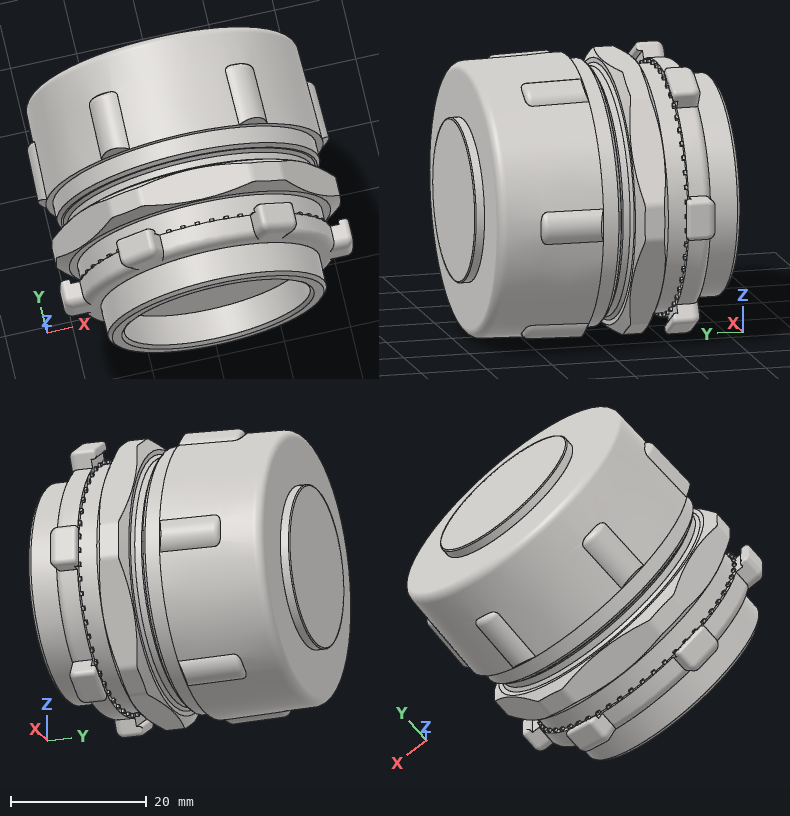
import cadquery as cq
import math

OVERALL_LENGTH = 39.5
LUG_AND_RIB_COUNT = 6
SIXTH_TURN = 360 / LUG_AND_RIB_COUNT

TUBE_RADIUS = 33.2 / 2
TUBE_CHAMFER = 0.55
BORE_RADIUS = 28.2 / 2
BORE_DEPTH = 5.05
BORE_CHAMFER = 0.5

LOCKNUT_FRONT = 5.05
LOCKNUT_BACK = 8.65
LOCKNUT_RADIUS = 19.25
LOCKNUT_FRONT_FILLET = 1.35
LUG_REACH = 21.9
LUG_WIDTH = 6.1
LUG_HEEL_RADIUS = 20.3
LUG_BACK = 9.45
LUG_CORNER_FILLET = 0.75
LUG_BACK_FILLET = 0.5
TOOTH_COUNT = 54
TOOTH_HEIGHT = 0.4
TOOTH_WIDTH = 0.6
TOOTH_OUTER_RADIUS = 19.05

GASKET_FRONT_RADIUS = 37.0 / 2
GASKET_BACK_RADIUS = 37.1 / 2

HEX_FRONT = 11.95
HEX_BACK = 17.0
HEX_ACROSS_FLATS = 39.97
HALF_CORNER_ANGLE = 30
HEX_CORNER_REACH = 21.55
HEX_CORNER_FILLET = 1.9
HEX_FACE_RADIUS = 19.8
HEX_BEVEL_ANGLE = 30

NECK_RADIUS = 37.2 / 2
NECK_FLARE = 0.5
COLLAR_RADIUS = 39.9 / 2
COLLAR_FRONT = 19.0
COLLAR_CHAMFER = 0.55

NUT_FRONT = 22.15
NUT_BACK = 38.05
NUT_FRONT_RADIUS = 42.0 / 2
NUT_DRAFT_ANGLE = 1.5
NUT_BACK_FILLET = 1.4
NUT_END_WALL = 2.65
RIB_REACH = 22.05
RIB_RADIUS = 3.1
RIB_BACK = 31.6
RIB_BACK_FILLET = 0.95
RIB_BEVEL_ANGLE = 30

PLUG_RADIUS = 24.5 / 2
PLUG_CHAMFER = 0.18

NUT_CAVITY_END = NUT_BACK - NUT_END_WALL
RIB_BEVEL_SLOPE = math.tan(math.radians(RIB_BEVEL_ANGLE))
RIB_BEVEL_END = NUT_FRONT + (RIB_REACH - NUT_FRONT_RADIUS) * RIB_BEVEL_SLOPE


def turned(points):
    """Revolve an outline of (radius, y) points about the Y axis."""
    return cq.Workplane("XY").polyline(points).close().revolve(360, (0, 0, 0), (0, 1, 0))


def disc(radius, start, end):
    """Solid cylinder on the Y axis between two Y positions."""
    return cq.Workplane("XZ", origin=(0, start, 0)).circle(radius).extrude(start - end)


def bar(inner, outer, width, start, end):
    """Block reaching outward along X from inner to outer, between two Y positions."""
    size = (outer - inner, end - start, width)
    return cq.Workplane("XY").box(*size, centered=(False, False, True)).translate((inner, start, 0))


def turn_about_axis(shape, angle):
    """Copy of a shape turned about the Y axis."""
    return shape.rotate((0, 0, 0), (0, 1, 0), angle)


def make_hexagon():
    """Hexagon with cut, rounded corners pointing along X, and both faces bevelled."""
    thickness = HEX_BACK - HEX_FRONT
    corner_diameter = HEX_ACROSS_FLATS / math.cos(math.radians(HALF_CORNER_ANGLE))
    blank = cq.Workplane("XZ", origin=(0, HEX_FRONT, 0)).polygon(6, corner_diameter).extrude(-thickness)
    corner_cutter = (
        cq.Workplane("XZ", origin=(0, HEX_FRONT, 0))
        .transformed(rotate=(0, 0, HALF_CORNER_ANGLE))
        .polygon(6, 2 * HEX_CORNER_REACH / math.cos(math.radians(HALF_CORNER_ANGLE)))
        .extrude(-thickness)
    )
    blank = blank.intersect(corner_cutter).edges("|Y").fillet(HEX_CORNER_FILLET)

    bevel_depth = thickness / 2
    waist_radius = HEX_FACE_RADIUS + bevel_depth / math.tan(math.radians(HEX_BEVEL_ANGLE))
    bevels = turned([
        (0, HEX_FRONT),
        (HEX_FACE_RADIUS, HEX_FRONT),
        (waist_radius, HEX_FRONT + bevel_depth),
        (HEX_FACE_RADIUS, HEX_BACK),
        (0, HEX_BACK),
    ])
    return blank.intersect(bevels)


def make_fitting():
    """Threaded tube, hexagon, neck and collar in one piece, with a blind bore."""
    tube = disc(TUBE_RADIUS, 0, HEX_FRONT).faces("<Y").chamfer(TUBE_CHAMFER)
    collar = turned([
        (0, HEX_BACK),
        (NECK_RADIUS + NECK_FLARE, HEX_BACK),
        (NECK_RADIUS, HEX_BACK + NECK_FLARE),
        (NECK_RADIUS, COLLAR_FRONT - NECK_FLARE),
        (NECK_RADIUS + NECK_FLARE, COLLAR_FRONT),
        (COLLAR_RADIUS - COLLAR_CHAMFER, COLLAR_FRONT),
        (COLLAR_RADIUS, COLLAR_FRONT + COLLAR_CHAMFER),
        (COLLAR_RADIUS, NUT_CAVITY_END),
        (0, NUT_CAVITY_END),
    ])
    bore = turned([
        (0, 0),
        (BORE_RADIUS + BORE_CHAMFER, 0),
        (BORE_RADIUS, BORE_CHAMFER),
        (BORE_RADIUS, BORE_DEPTH),
        (0, BORE_DEPTH),
    ])
    return tube.union(make_hexagon()).union(collar).cut(bore)


def make_tooth():
    """Small tooth standing on the locknut's back face, just outside the gasket."""
    tooth_back = LOCKNUT_BACK + TOOTH_HEIGHT
    return bar(GASKET_BACK_RADIUS, TOOTH_OUTER_RADIUS, TOOTH_WIDTH, LOCKNUT_BACK, tooth_back)


def make_locknut():
    """Ring with six rounded lugs and a row of small teeth on its back face."""
    arm = bar(TUBE_RADIUS, LUG_REACH, LUG_WIDTH, LOCKNUT_FRONT, LOCKNUT_BACK)
    heel = bar(LUG_HEEL_RADIUS, LUG_REACH, LUG_WIDTH, LOCKNUT_FRONT, LUG_BACK)
    lug = arm.union(heel)

    locknut = disc(LOCKNUT_RADIUS, LOCKNUT_FRONT, LOCKNUT_BACK)
    for i in range(LUG_AND_RIB_COUNT):
        locknut = locknut.union(turn_about_axis(lug, i * SIXTH_TURN))
    locknut = locknut.faces("<Y").edges().fillet(LOCKNUT_FRONT_FILLET)

    corner_edges = locknut.edges("|Y").filter(
        lambda edge: math.hypot(edge.Center().x, edge.Center().z) > LUG_REACH
    )
    locknut = corner_edges.fillet(LUG_CORNER_FILLET)
    locknut = locknut.faces(">Y").edges().fillet(LUG_BACK_FILLET)

    locknut = locknut.cut(disc(TUBE_RADIUS, LOCKNUT_FRONT, LOCKNUT_BACK))
    tooth = make_tooth()
    for i in range(TOOTH_COUNT):
        locknut = locknut.union(turn_about_axis(tooth, i * 360 / TOOTH_COUNT))
    return locknut


def make_gasket():
    """Tapered sleeve filling the space between the locknut and the hexagon."""
    return turned([
        (TUBE_RADIUS, LOCKNUT_BACK),
        (GASKET_FRONT_RADIUS, LOCKNUT_BACK),
        (GASKET_BACK_RADIUS, HEX_FRONT),
        (TUBE_RADIUS, HEX_FRONT),
    ])


def make_rib():
    """Rounded grip rib on the +X side, leaning inward with the nut's draft."""
    rod_start = NUT_FRONT - RIB_RADIUS
    rib = disc(RIB_RADIUS, rod_start, RIB_BACK).faces(">Y").edges().fillet(RIB_BACK_FILLET)
    rib = rib.rotate((0, RIB_BEVEL_END, 0), (0, RIB_BEVEL_END, 1), NUT_DRAFT_ANGLE)
    return rib.translate((RIB_REACH - RIB_RADIUS, 0, 0))


def make_nut():
    """Tapered cap with six ribs, bored for the collar and opened for the plug."""
    back_radius = NUT_FRONT_RADIUS - (NUT_BACK - NUT_FRONT) * math.tan(math.radians(NUT_DRAFT_ANGLE))
    cap = turned([
        (0, NUT_FRONT),
        (NUT_FRONT_RADIUS, NUT_FRONT),
        (back_radius, NUT_BACK),
        (0, NUT_BACK),
    ])
    cap = cap.faces(">Y").edges().fillet(NUT_BACK_FILLET)

    limit_radius = RIB_REACH + RIB_RADIUS
    limit_back = RIB_BACK + RIB_RADIUS
    rib_limit = turned([
        (0, NUT_FRONT),
        (NUT_FRONT_RADIUS, NUT_FRONT),
        (limit_radius, NUT_FRONT + (limit_radius - NUT_FRONT_RADIUS) * RIB_BEVEL_SLOPE),
        (limit_radius, limit_back),
        (0, limit_back),
    ])
    rib = make_rib().intersect(rib_limit)
    for i in range(LUG_AND_RIB_COUNT):
        cap = cap.union(turn_about_axis(rib, i * SIXTH_TURN))

    cavity = disc(COLLAR_RADIUS, NUT_FRONT, NUT_CAVITY_END)
    opening = disc(PLUG_RADIUS, NUT_CAVITY_END, NUT_BACK)
    return cap.cut(cavity).cut(opening)


def make_plug():
    """Round plug resting on the end of the collar and standing out behind the nut."""
    return disc(PLUG_RADIUS, NUT_CAVITY_END, OVERALL_LENGTH).faces(">Y").chamfer(PLUG_CHAMFER)


fitting = make_fitting()
locknut = make_locknut()
gasket = make_gasket()
nut = make_nut()
plug = make_plug()

result = cq.Compound.makeCompound([
    fitting.val(),
    locknut.val(),
    gasket.val(),
    nut.val(),
    plug.val(),
])